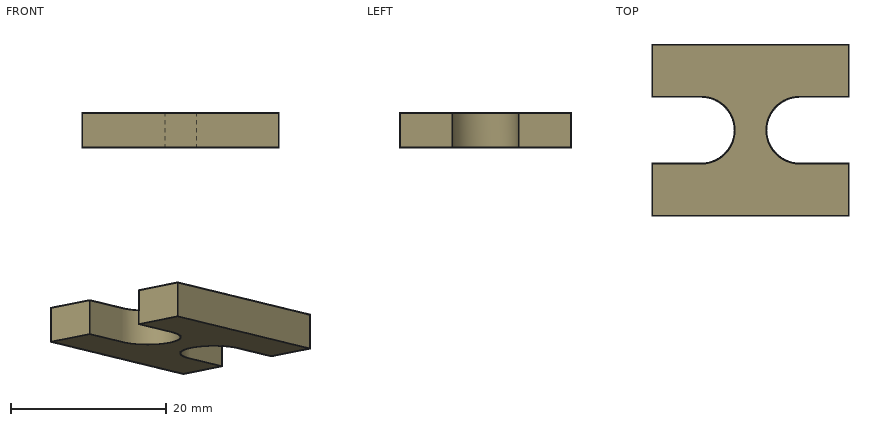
import cadquery as cq

length = 25.4
width = 22.1
thickness = 4.5

slot_width = 8.59
web_thickness = 4.11

slot_radius = slot_width / 2
round_center_x = web_thickness / 2 + slot_radius
straight_length = length / 2 - round_center_x


def end_slot(side):
    """Through slot opening at the +X (side = 1) or -X (side = -1) end."""
    round_end = cq.Workplane("XY").center(side * round_center_x, 0).circle(slot_radius).extrude(thickness)
    straight_part = (
        cq.Workplane("XY")
        .center(side * (round_center_x + straight_length / 2), 0)
        .rect(straight_length, slot_width)
        .extrude(thickness)
    )
    return straight_part.union(round_end)


result = cq.Workplane("XY").rect(length, width).extrude(thickness)
for side in (-1, 1):
    result = result.cut(end_slot(side))